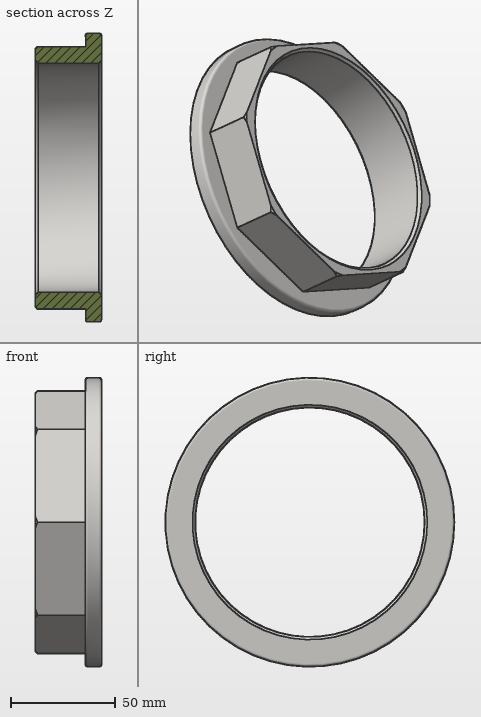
import cadquery as cq

total_length = 32.0
flange_diameter = 139.0
flange_thickness = 7.9
flange_edge_radius = 1.4
bore_diameter = 110.1
bore_chamfer = 1.4
octagon_corner_diameter = 126.2
corner_bevel_depth = 1.1
corner_bevel_length = 1.1
octagon_length = total_length - flange_thickness


def octagon_body():
    """Octagonal wrench section with corners on the Y and Z axes."""
    prism = cq.Workplane("YZ").polygon(8, octagon_corner_diameter).extrude(total_length)
    envelope = (
        cq.Workplane("YZ")
        .circle(octagon_corner_diameter / 2)
        .extrude(total_length)
        .faces("<X")
        .chamfer(corner_bevel_length, corner_bevel_depth)
    )
    return prism.intersect(envelope)


def flange():
    """Round flange with both outer edges rounded."""
    disc = (
        cq.Workplane("YZ")
        .workplane(offset=octagon_length)
        .circle(flange_diameter / 2)
        .extrude(flange_thickness)
    )
    return disc.edges().fillet(flange_edge_radius)


def bore():
    """Through bore, flared by a chamfer at both ends."""
    bore_radius = bore_diameter / 2
    profile = [
        (0, 0),
        (0, bore_radius + bore_chamfer),
        (bore_chamfer, bore_radius),
        (total_length - bore_chamfer, bore_radius),
        (total_length, bore_radius + bore_chamfer),
        (total_length, 0),
    ]
    return cq.Workplane("XY").polyline(profile).close().revolve(360, (0, 0, 0), (1, 0, 0))


result = octagon_body().union(flange()).cut(bore())